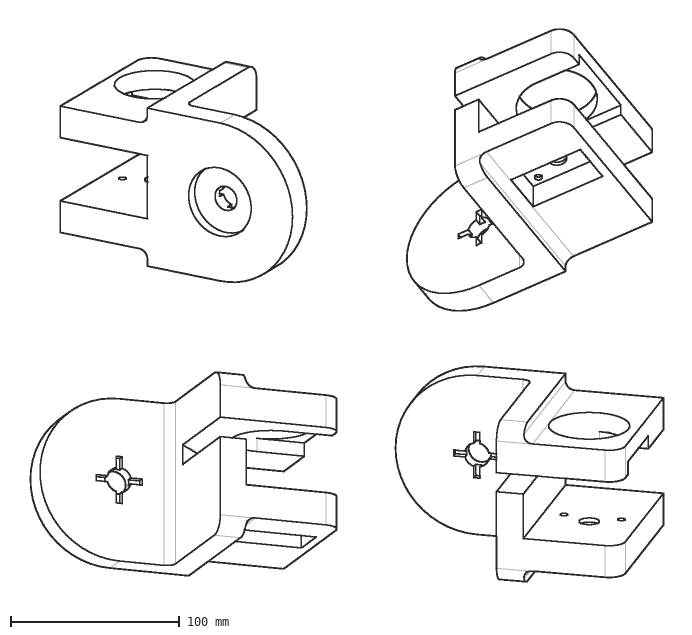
import cadquery as cq

length = 160.0
height = 100.0
depth = 100.0
end_radius = height / 2
pivot_x = length - end_radius
mid_z = height / 2

web_front_x = 60.0
web_back_x = 76.5
plate_thickness = 16.8
blend_radius = 5.5

arm_thickness = 20.0
arm_gap = 40.0
upper_arm_bottom = mid_z + arm_gap / 2
upper_arm_top = upper_arm_bottom + arm_thickness
lower_arm_top = mid_z - arm_gap / 2
lower_arm_bottom = lower_arm_top - arm_thickness
corner_radius = lower_arm_bottom

pivot_diameter = 15.0
pivot_recess_diameter = 43.0
pivot_recess_depth = 7.0

cross_slot_length = 28.8
cross_slot_width = 3.7
cross_slot_depth = 4.3

bore_x = web_front_x / 2
bore_y = 60.0
bore_diameter = 48.0
notch_height = 8.2
centre_hole_diameter = 12.0
pin_diameter = 4.5
pin_offset_x = 17.6
pin_offset_y = -8.0

pocket_length = 48.0
pocket_width = 25.6
pocket_floor = 2.5

window_height = 12.0
window_start_y = 18.2


def block(x_min, x_max, y_min, y_max, z_min, z_max):
    """Box given by its limits along each axis."""
    size = (x_max - x_min, y_max - y_min, z_max - z_min)
    return cq.Workplane("XY").box(*size, centered=False).translate((x_min, y_min, z_min))


def vertical_cylinder(x, y, diameter, z_min, z_max):
    """Cylinder along Z between two heights."""
    return cq.Workplane("XY", origin=(x, y, z_min)).circle(diameter / 2).extrude(z_max - z_min)


def pivot_cylinder(diameter, cylinder_depth):
    """Cylinder on the pivot axis, running inward from the front face."""
    plane = cq.Workplane("XZ", origin=(pivot_x, 0, mid_z))
    return plane.circle(diameter / 2).extrude(-cylinder_depth)


def make_plate():
    straight = block(web_front_x, pivot_x, 0, plate_thickness, 0, height)
    return straight.union(pivot_cylinder(height, plate_thickness))


def make_web():
    web = block(web_front_x, web_back_x, 0, depth, 0, height)
    return web.edges("|X and >Y").fillet(corner_radius)


def make_arm(z_min, z_max):
    arm = block(0, web_front_x, 0, depth, z_min, z_max)
    return arm.edges("|Z and <X and >Y").fillet(corner_radius)


def make_arm_blend(arm_face_z, direction):
    """Concave blend between an outer arm face and the web."""
    start_x = web_front_x - blend_radius
    end_z = arm_face_z + direction * blend_radius
    middle = blend_radius * 0.5 ** 0.5
    blend = (
        cq.Workplane("XZ")
        .moveTo(start_x, arm_face_z)
        .threePointArc((start_x + middle, end_z - direction * middle), (web_front_x, end_z))
        .lineTo(web_front_x, arm_face_z)
        .close()
        .extrude(-depth)
    )
    rounded_envelope = block(0, web_back_x, 0, depth, 0, height).edges("|X and >Y").fillet(corner_radius)
    return blend.intersect(rounded_envelope)


def make_window():
    """Window in the web, open at the +Y side."""
    slant_y = window_start_y + web_back_x - web_front_x
    return (
        cq.Workplane("XY", origin=(0, 0, upper_arm_bottom - window_height))
        .polyline([
            (web_front_x, window_start_y),
            (web_back_x, slant_y),
            (web_back_x, depth),
            (web_front_x, depth),
        ])
        .close()
        .extrude(window_height)
    )


body = make_plate().union(make_web())
body = body.edges(
    cq.selectors.BoxSelector(
        (web_back_x - 1.6, plate_thickness - 1.6, 0),
        (web_back_x + 1.6, plate_thickness + 1.6, height),
    )
).edges("|Z").fillet(blend_radius)
body = body.union(make_arm(upper_arm_bottom, upper_arm_top))
body = body.union(make_arm(lower_arm_bottom, lower_arm_top))
body = body.union(make_arm_blend(upper_arm_top, 1))
body = body.union(make_arm_blend(lower_arm_bottom, -1))

body = body.cut(pivot_cylinder(pivot_diameter, plate_thickness))
body = body.cut(pivot_cylinder(pivot_recess_diameter, pivot_recess_depth))

for slot_x, slot_z in [(cross_slot_length, cross_slot_width), (cross_slot_width, cross_slot_length)]:
    body = body.cut(block(
        pivot_x - slot_x / 2, pivot_x + slot_x / 2,
        plate_thickness - cross_slot_depth, plate_thickness,
        mid_z - slot_z / 2, mid_z + slot_z / 2,
    ))

body = body.cut(vertical_cylinder(bore_x, bore_y, bore_diameter, upper_arm_bottom, upper_arm_top))
notch_half_width = bore_diameter / 2
body = body.cut(block(
    0, bore_x,
    bore_y - notch_half_width, bore_y + notch_half_width,
    upper_arm_bottom, upper_arm_bottom + notch_height,
))

lower_holes = [
    (bore_x, bore_y, centre_hole_diameter),
    (bore_x - pin_offset_x, bore_y + pin_offset_y, pin_diameter),
    (bore_x + pin_offset_x, bore_y + pin_offset_y, pin_diameter),
]
for hole_x, hole_y, diameter in lower_holes:
    body = body.cut(vertical_cylinder(hole_x, hole_y, diameter, lower_arm_bottom, lower_arm_top))

body = body.cut(block(
    bore_x - pocket_length / 2, bore_x + pocket_length / 2,
    bore_y - pocket_width / 2, bore_y + pocket_width / 2,
    lower_arm_bottom, lower_arm_top - pocket_floor,
))

result = body.cut(make_window())